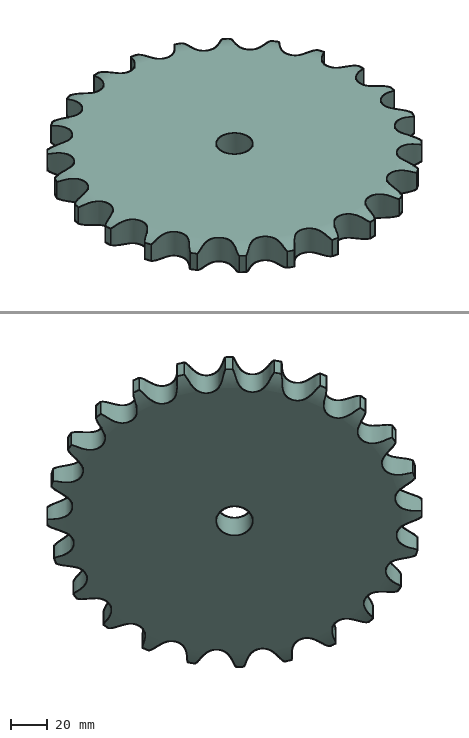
import cadquery as cq
import math

TOOTH_COUNT = 24
PITCH_DIAMETER = 194.6
TIP_RADIUS = 102.7
THICKNESS = 16.1
BORE_DIAMETER = 20.0
RELIEF_INNER_RADIUS = 91.7

PITCH = PITCH_DIAMETER * math.sin(math.pi / TOOTH_COUNT)
ROLLER_DIAMETER = 0.625 * PITCH
RELIEF_ARC_RADIUS = PITCH

WORKING_CENTRE_RATIO = 0.8
TOPPING_CENTRE_RATIO = 1.4
WORKING_RADIUS_RATIO = 1.3025
SEATING_DIAMETER_RATIO = 1.0005
SEATING_CLEARANCE = 0.003 * PITCH

SEATING_END_TILT = 35 + 60 / TOOTH_COUNT
WORKING_SWEEP = 18 - 56 / TOOTH_COUNT
FLANK_TILT = SEATING_END_TILT - WORKING_SWEEP
TOPPING_CENTRE_ANGLE = 17 - 64 / TOOTH_COUNT
TOPPING_SWEEP = 22

SEATING_RADIUS = (SEATING_DIAMETER_RATIO * ROLLER_DIAMETER + SEATING_CLEARANCE) / 2
WORKING_RADIUS = WORKING_RADIUS_RATIO * ROLLER_DIAMETER + SEATING_CLEARANCE / 2
FLANK_LENGTH = ROLLER_DIAMETER * (
    TOPPING_CENTRE_RATIO * math.sin(math.radians(TOPPING_CENTRE_ANGLE))
    - WORKING_CENTRE_RATIO * math.sin(math.radians(WORKING_SWEEP))
)
TOPPING_RADIUS = ROLLER_DIAMETER * (
    WORKING_CENTRE_RATIO * math.cos(math.radians(WORKING_SWEEP))
    + TOPPING_CENTRE_RATIO * math.cos(math.radians(TOPPING_CENTRE_ANGLE))
) - WORKING_RADIUS


def advance(point, length, tilt):
    """Move outward from a point along a direction tilted from the radial, in degrees."""
    angle = math.radians(tilt)
    return (point[0] + length * math.cos(angle), point[1] + length * math.sin(angle))


def arc_points(start, radius, start_tilt, end_tilt):
    """Middle and end point of an arc whose tangent turns from one tilt to another."""
    def chord_end(tilt):
        turn = math.radians(abs(tilt - start_tilt))
        return advance(start, 2 * radius * math.sin(turn / 2), (start_tilt + tilt) / 2)

    return chord_end((start_tilt + end_tilt) / 2), chord_end(end_tilt)


def mirrored(point):
    """Reflect a sketch point across the horizontal sketch axis."""
    return (point[0], -point[1])


def tooth_gap():
    """Cutter for one gap, centred on the +X axis and open past the tooth tips."""
    root = (PITCH_DIAMETER / 2 - SEATING_RADIUS, 0)
    _, seating_end = arc_points(root, SEATING_RADIUS, 90, SEATING_END_TILT)
    working_mid, working_end = arc_points(
        seating_end, WORKING_RADIUS, SEATING_END_TILT, FLANK_TILT
    )
    flank_end = advance(working_end, FLANK_LENGTH, FLANK_TILT)
    topping_mid, topping_end = arc_points(
        flank_end, TOPPING_RADIUS, FLANK_TILT, FLANK_TILT + TOPPING_SWEEP
    )
    return (
        cq.Workplane("XY")
        .moveTo(*mirrored(topping_end))
        .threePointArc(mirrored(topping_mid), mirrored(flank_end))
        .lineTo(*mirrored(working_end))
        .threePointArc(mirrored(working_mid), mirrored(seating_end))
        .threePointArc(root, seating_end)
        .threePointArc(working_mid, working_end)
        .lineTo(*flank_end)
        .threePointArc(topping_mid, topping_end)
        .close()
        .extrude(THICKNESS / 2, both=True)
    )


def blank():
    """Revolved disc whose faces curve in towards the rim."""
    half = THICKNESS / 2

    def relief_point(radius):
        run = radius - RELIEF_INNER_RADIUS
        drop = RELIEF_ARC_RADIUS - math.sqrt(RELIEF_ARC_RADIUS**2 - run**2)
        return (radius, half - drop)

    relief_mid = relief_point((RELIEF_INNER_RADIUS + TIP_RADIUS) / 2)
    rim = relief_point(TIP_RADIUS)
    return (
        cq.Workplane("XZ")
        .moveTo(0, -half)
        .lineTo(RELIEF_INNER_RADIUS, -half)
        .threePointArc(mirrored(relief_mid), mirrored(rim))
        .lineTo(*rim)
        .threePointArc(relief_mid, (RELIEF_INNER_RADIUS, half))
        .lineTo(0, half)
        .close()
        .revolve(360, (0, 0, 0), (0, 1, 0))
    )


result = blank()
gap = tooth_gap()
for index in range(TOOTH_COUNT):
    result = result.cut(gap.rotate((0, 0, 0), (0, 0, 1), index * 360 / TOOTH_COUNT))

bore = (
    cq.Workplane("XY")
    .workplane(offset=-THICKNESS / 2)
    .circle(BORE_DIAMETER / 2)
    .extrude(THICKNESS)
)
result = result.cut(bore)